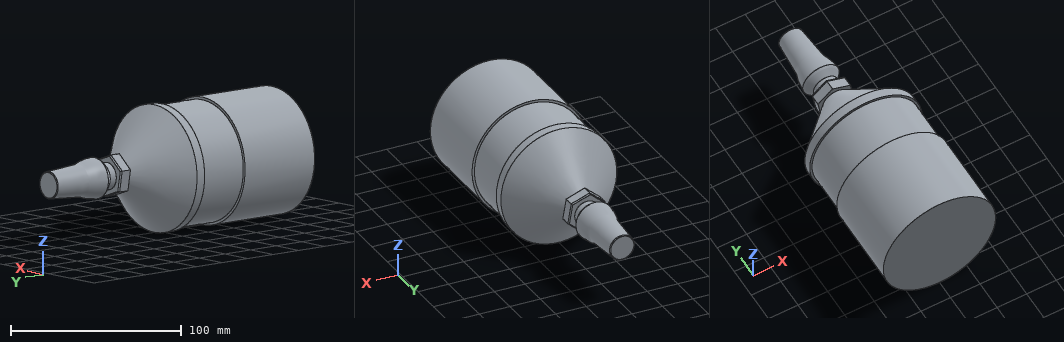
import cadquery as cq

LENGTH = 174.6

BODY_RADIUS = 76.1 / 2
BAND_RADIUS = 73.0 / 2
BARREL_END = 54.5
BAND_LENGTH = 31.6
COLLAR_LENGTH = 6.0
CONE_LENGTH = 29.2
COLLAR_START = BARREL_END + BAND_LENGTH
CONE_START = COLLAR_START + COLLAR_LENGTH
CONE_END = CONE_START + CONE_LENGTH
CONE_TIP_RADIUS = BODY_RADIUS - CONE_LENGTH

NUT_CORNER_RADIUS = 13.0
NUT_LENGTH = 7.5
NUT_ANGLE = 20
NUT_BEVEL_LENGTH = 1.0
NUT_BEVEL_DEPTH = 0.5
NUT_END = CONE_END + NUT_LENGTH

NECK_RADIUS = 16.2 / 2
NECK_LENGTH = 4.7
NECK_END = NUT_END + NECK_LENGTH
BULB_RADIUS = 12.4
BULB_EDGE_RADIUS = 11.3
BULB_UNDERSIDE_LENGTH = 3.7
BULB_EDGE_LENGTH = 1.5
BULB_FLARE_LENGTH = 11.2
BULB_BULGE = 0.5
BULB_TOP_RADIUS = 10.1
BULB_EDGE = NECK_END + BULB_UNDERSIDE_LENGTH
BULB_WIDEST = BULB_EDGE + BULB_EDGE_LENGTH
BULB_TOP = BULB_WIDEST + BULB_FLARE_LENGTH
SPIGOT_BASE_RADIUS = 9.8
SPIGOT_TIP_RADIUS = NECK_RADIUS
SPIGOT_BLEND_LENGTH = 1.5
TIP_CHAMFER = 0.5
SPIGOT_START = BULB_TOP + SPIGOT_BLEND_LENGTH


def make_body():
    """Revolve the barrel, band, collar and cone."""
    profile = (
        cq.Workplane("XY")
        .lineTo(BODY_RADIUS, 0)
        .lineTo(BODY_RADIUS, BARREL_END)
        .lineTo(BAND_RADIUS, BARREL_END)
        .lineTo(BAND_RADIUS, COLLAR_START)
        .lineTo(BODY_RADIUS, COLLAR_START)
        .lineTo(BODY_RADIUS, CONE_START)
        .lineTo(CONE_TIP_RADIUS, CONE_END)
        .lineTo(0, CONE_END)
        .close()
    )
    return profile.revolve(360, (0, 0, 0), (0, 1, 0))


def make_nut():
    """Extrude the hexagon toward the tip and bevel its far edges."""
    blank = (
        cq.Workplane("XY")
        .polygon(6, 2 * NUT_CORNER_RADIUS)
        .extrude(NUT_LENGTH)
        .faces(">Z")
        .chamfer(NUT_BEVEL_LENGTH, NUT_BEVEL_DEPTH)
    )
    return (
        blank.rotate((0, 0, 0), (0, 0, 1), NUT_ANGLE)
        .rotate((0, 0, 0), (1, 0, 0), -90)
        .translate((0, CONE_END, 0))
    )


def make_nozzle():
    """Revolve the neck, the bulging flare and the tapered spigot."""
    flare_middle = (
        (BULB_RADIUS + BULB_TOP_RADIUS) / 2 + BULB_BULGE,
        (BULB_WIDEST + BULB_TOP) / 2,
    )
    profile = (
        cq.Workplane("XY")
        .moveTo(0, NUT_END)
        .lineTo(NECK_RADIUS, NUT_END)
        .lineTo(NECK_RADIUS, NECK_END)
        .lineTo(BULB_EDGE_RADIUS, BULB_EDGE)
        .lineTo(BULB_RADIUS, BULB_WIDEST)
        .threePointArc(flare_middle, (BULB_TOP_RADIUS, BULB_TOP))
        .lineTo(SPIGOT_BASE_RADIUS, SPIGOT_START)
        .lineTo(SPIGOT_TIP_RADIUS, LENGTH - TIP_CHAMFER)
        .lineTo(SPIGOT_TIP_RADIUS - TIP_CHAMFER, LENGTH)
        .lineTo(0, LENGTH)
        .close()
    )
    return profile.revolve(360, (0, 0, 0), (0, 1, 0))


result = make_body().union(make_nut()).union(make_nozzle())